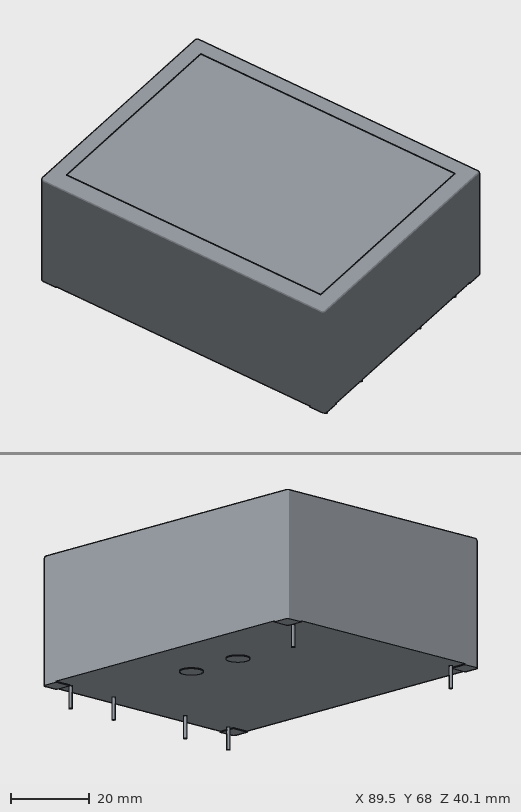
import cadquery as cq

length = 89.5
width = 68.0
total_height = 40.1
pin_reach = 5.6
edge_radius = 1.0
foot_size = 4.9
foot_height = 0.3
foot_bottom = pin_reach
underside = foot_bottom + foot_height

pad_diameter = 6.2
pad_spacing = 17.0
pad_centre_x = 0.3
pad_y = 16.1

label_margin = 4.8
label_length = length - 2 * label_margin
label_width = width - 2 * label_margin
label_thickness = 0.2

pin_diameter = 0.9
pin_embed = 1.8
pin_length = underside + pin_embed
pin_x = 40.6
outer_pin_y = 28.0
inner_pin_y = 12.7
input_pin_places = [(-pin_x, y) for y in (-outer_pin_y, outer_pin_y)]
output_pin_places = [(pin_x, y) for y in (-outer_pin_y, -inner_pin_y, inner_pin_y, outer_pin_y)]
pin_places = input_pin_places + output_pin_places


def make_pin(place):
    """Round pin that starts at Z = 0 and ends inside the housing."""
    return cq.Workplane("XY").center(*place).circle(pin_diameter / 2).extrude(pin_length)


def make_label():
    """Thin plate whose upper face is level with the housing top."""
    return (
        cq.Workplane("XY")
        .workplane(offset=total_height - label_thickness)
        .rect(label_length, label_width)
        .extrude(label_thickness)
    )


def make_underside_cut():
    """Cross-shaped clearance that leaves a foot at each corner."""
    base = cq.Workplane("XY").workplane(offset=foot_bottom)
    along_x = base.rect(length - 2 * foot_size, width).extrude(foot_height)
    along_y = base.rect(length, width - 2 * foot_size).extrude(foot_height)
    return along_x.union(along_y)


def make_pads():
    """Pads that reach down to the level of the feet."""
    places = [(pad_centre_x + side * pad_spacing / 2, pad_y) for side in (-1, 1)]
    return (
        cq.Workplane("XY")
        .workplane(offset=foot_bottom)
        .pushPoints(places)
        .circle(pad_diameter / 2)
        .extrude(foot_height)
    )


def make_housing(label, pins):
    """Rounded block on corner feet, with sockets for the label and the pins."""
    block = (
        cq.Workplane("XY")
        .workplane(offset=foot_bottom)
        .rect(length, width)
        .extrude(total_height - foot_bottom)
        .edges("|Z or >Z")
        .fillet(edge_radius)
    )
    housing = block.cut(make_underside_cut()).union(make_pads()).cut(label)
    for pin in pins:
        housing = housing.cut(pin)
    return housing


pins = [make_pin(place) for place in pin_places]
label = make_label()
housing = make_housing(label, pins)

result = cq.Compound.makeCompound([housing.val(), label.val(), *[pin.val() for pin in pins]])